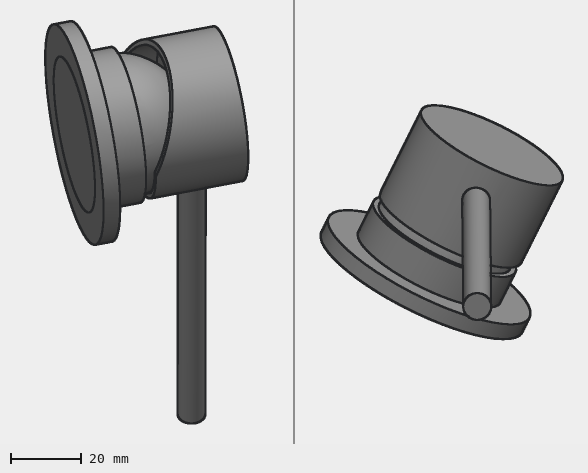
import cadquery as cq
import math

overall_depth = 45.0

flange_diameter = 63.5
flange_thickness = 4.9

base_diameter = 44.9
base_top = 15.0

ball_radius = 20.8
ball_center_y = 13.0

cap_diameter = 44.6
cap_mouth = 18.0
cap_wall = 1.5
cap_floor = 30.0
cap_offset_x = -0.5
cap_offset_z = 0.23

relief_start_z = -0.3
relief_depth = 9.0

lever_diameter = 8.0
lever_y = 34.5
lever_roll = 0.2
lever_end_z = -121.0
lever_socket_depth = 4.6

cap_radius = cap_diameter / 2
cap_bore_radius = cap_radius - cap_wall


def disc(diameter, start_y, end_y, center_x=0, center_z=0):
    """Cylinder along Y between two Y positions."""
    height = end_y - start_y
    axis_start = cq.Vector(center_x, start_y, center_z)
    return cq.Workplane(cq.Solid.makeCylinder(diameter / 2, height, axis_start, cq.Vector(0, 1, 0)))


def make_base():
    return disc(base_diameter, 0, base_top)


def make_flange(base):
    return disc(flange_diameter, 0, flange_thickness).cut(base)


def make_ball():
    sphere = cq.Workplane("XY").sphere(ball_radius).translate((0, ball_center_y, 0))
    return sphere.intersect(disc(2 * ball_radius, base_top, cap_floor))


def make_mouth_relief():
    """Wedge that slants the upper half of the cap's mouth away from the base."""
    return (
        cq.Workplane("YZ")
        .polyline([
            (cap_mouth, relief_start_z),
            (cap_mouth + relief_depth, cap_radius + cap_offset_z),
            (cap_mouth + relief_depth, cap_diameter),
            (cap_mouth, cap_diameter),
        ])
        .close()
        .extrude(cap_diameter, both=True)
    )


def make_lever():
    """Rod that hangs from a blind socket in the underside of the cap."""
    distance_from_axis = cap_radius - lever_socket_depth
    roll = math.radians(lever_roll)
    direction = cq.Vector(-math.sin(roll), 0, -math.cos(roll))
    start = cq.Vector(cap_offset_x, lever_y, cap_offset_z) + direction * distance_from_axis
    length = (start.z - lever_end_z) / math.cos(roll)
    return cq.Workplane(cq.Solid.makeCylinder(lever_diameter / 2, length, start, direction))


def make_cap(lever):
    cap = disc(cap_diameter, cap_mouth, overall_depth, cap_offset_x, cap_offset_z)
    bore = disc(2 * cap_bore_radius, cap_mouth, cap_floor, cap_offset_x, cap_offset_z)
    return cap.cut(bore).cut(make_mouth_relief()).cut(lever)


base = make_base()
flange = make_flange(base)
ball = make_ball()
lever = make_lever()
cap = make_cap(lever)

result = cq.Compound.makeCompound([
    flange.val(),
    base.val(),
    ball.val(),
    cap.val(),
    lever.val(),
])